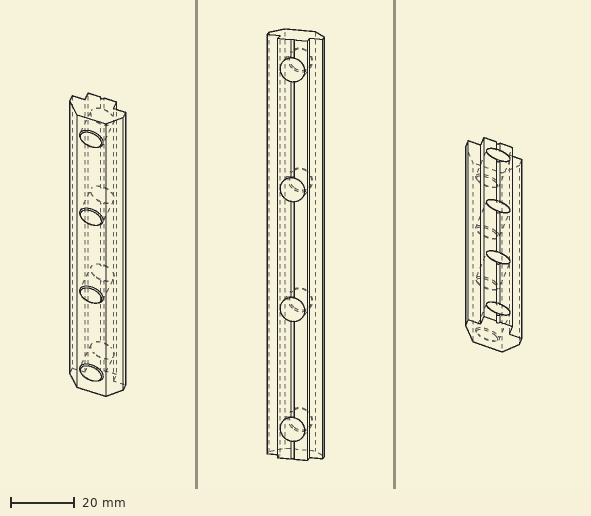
import cadquery as cq

rail_length = 140.0
rail_width = 18.0
rail_height = 9.4
stem_width = 9.7
stem_height = 2.8
foot_width = 9.8
flank_height = 4.3
groove_diameter = 1.1

screw_length = 10.0
screw_diameter = 8.0
screw_chamfer = 0.4
screw_back_protrusion = 0.1
screw_count = 4
screw_pitch = rail_length * 2 / 7

screw_back_y = screw_length / 2
screw_tip_y = screw_back_y - screw_length
stem_top_y = screw_back_y - screw_back_protrusion
shoulder_y = stem_top_y - stem_height
foot_y = stem_top_y - rail_height
flank_top_y = foot_y + flank_height
first_screw_z = -screw_pitch * (screw_count - 1) / 2
screw_heights = [first_screw_z + i * screw_pitch for i in range(screw_count)]


def screw_cylinder(z):
    """Plain cylinder along Y that fills one screw position."""
    plane = cq.Workplane("XZ", origin=(0, screw_tip_y, z))
    return plane.circle(screw_diameter / 2).extrude(-screw_length)


def make_rail():
    """Rail profile swept along Z, with the centre groove and a through hole for every screw."""
    right_half = [
        (0, foot_y),
        (foot_width / 2, foot_y),
        (rail_width / 2, flank_top_y),
        (rail_width / 2, shoulder_y),
        (stem_width / 2, shoulder_y),
        (stem_width / 2, stem_top_y),
        (0, stem_top_y),
    ]
    base = cq.Workplane("XY", origin=(0, 0, -rail_length / 2))
    rail = base.polyline(right_half).mirrorY().extrude(rail_length)
    groove = base.center(0, stem_top_y).circle(groove_diameter / 2).extrude(rail_length)
    rail = rail.cut(groove)
    for z in screw_heights:
        rail = rail.cut(screw_cylinder(z))
    return rail


def make_set_screw(z):
    """Set screw with a chamfered tip at the foot of the rail."""
    return screw_cylinder(z).faces("<Y").chamfer(screw_chamfer)


rail = make_rail()
set_screws = [make_set_screw(z) for z in screw_heights]

result = cq.Compound.makeCompound([rail.val(), *[screw.val() for screw in set_screws]])